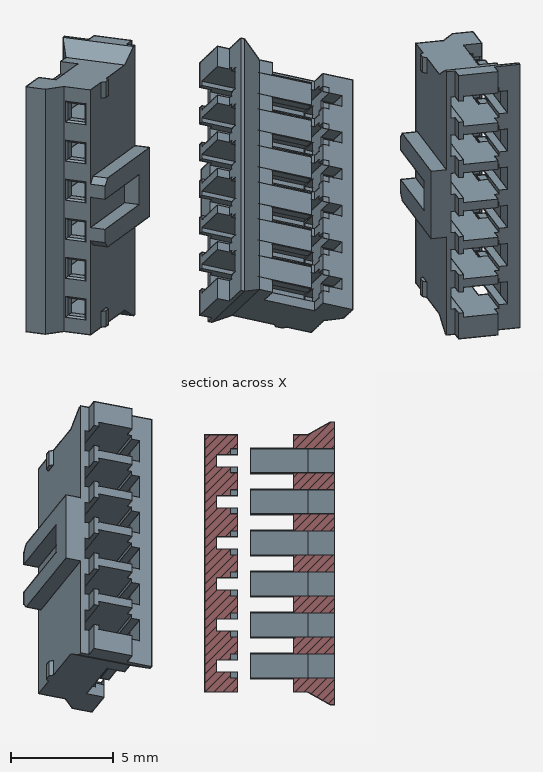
import cadquery as cq


CONTACTS = 6
PITCH = 2.0
cell_heights = [(i - (CONTACTS - 1) / 2) * PITCH for i in range(CONTACTS)]

HEIGHT = 13.8
FLARE = 0.62
BODY_RIGHT = 3.73
FLANGE_BACK = 6.35
FLANGE_RIM = 0.21
FLARE_START = 5.04
flare_end = FLANGE_BACK - FLANGE_RIM
body_left = FLARE
body_height = HEIGHT - 2 * FLARE

LIP_WIDTH = 1.04
LIP_STEP = 0.76
LIP_CHAMFER = 0.66

POST_LEFT = 1.28
POST_WIDTH = 2.0
DEPTH = 7.0

OVERALL_WIDTH = 4.5
RIB_PAIR_HEIGHT = 3.53
RIB_GAP = 1.55
RIB_CHAMFER = 0.32

BUMP_HEIGHT = 0.18
BUMP_START = 2.07
BUMP_END = 2.77
BUMP_LENGTH = 0.81

WINDOW_START = 1.61
WINDOW_END = 4.33
WINDOW_DEPTH = 0.92
window_floor = body_left + WINDOW_DEPTH
ARM_START = 2.24
ARM_THICKNESS = 0.44
ARM_HEIGHT = 1.27

CAVITY_START = 1.27
ARM_SKIN = 0.01
ARM_CHANNEL_HEIGHT = 1.16
WIDE_HEIGHT = 1.56
WIDE_RIGHT = 3.04
NARROW_HEIGHT = 1.1
arm_inside = body_left + ARM_THICKNESS

HOLE_X = 2.94
HOLE_SIZE = 0.88
HOLE_CHAMFER = 0.1
narrow_right = HOLE_X + NARROW_HEIGHT / 2

NOTCH_START = 0.6
NOTCH_HEIGHT = 0.58

def box(x_range, y_range, height, z_middle=0.0):
    """Box spanning the X and Y ranges, centred on z_middle."""
    x0, x1 = x_range
    y0, y1 = y_range
    solid = cq.Workplane("XY").box(x1 - x0, y1 - y0, height, centered=(False, False, True))
    return solid.translate((x0, y0, z_middle))

def prism(points, height, z_middle=0.0):
    """Outline in XY, extruded along Z and centred on z_middle."""
    solid = cq.Workplane("XY").polyline(points).close().extrude(height / 2, both=True)
    return solid.translate((0, 0, z_middle))

def make_flange():
    """Flange that flares outwards on three sides and is flush on the right."""
    left_profile = [
        (body_left, FLARE_START),
        (0, flare_end),
        (0, FLANGE_BACK),
        (BODY_RIGHT, FLANGE_BACK),
        (BODY_RIGHT, FLARE_START),
    ]
    half_body = body_height / 2
    half_height = HEIGHT / 2
    end_profile = [
        (FLARE_START, -half_body),
        (flare_end, -half_height),
        (FLANGE_BACK, -half_height),
        (FLANGE_BACK, half_height),
        (flare_end, half_height),
        (FLARE_START, half_body),
    ]
    end_prism = cq.Workplane("YZ").polyline(end_profile).close().extrude(BODY_RIGHT)
    return prism(left_profile, HEIGHT).intersect(end_prism)

def make_body():
    """Main block with the stepped lip at its front."""
    outline = [
        (body_left, 0),
        (body_left + LIP_WIDTH, 0),
        (body_left + LIP_WIDTH + LIP_CHAMFER, LIP_STEP),
        (BODY_RIGHT, LIP_STEP),
        (BODY_RIGHT, FLANGE_BACK),
        (body_left, FLANGE_BACK),
    ]
    return prism(outline, body_height)

def make_posts():
    """Rear block, later divided into posts by the cavities."""
    return box((POST_LEFT, POST_LEFT + POST_WIDTH), (flare_end, DEPTH), HEIGHT)

def make_ribs():
    """Pair of side ribs with chamfered front corners, bridged at the rear."""
    ribs = box((BODY_RIGHT, OVERALL_WIDTH), (LIP_STEP, FLANGE_BACK), RIB_PAIR_HEIGHT)
    ribs = ribs.edges("|X and <Y").chamfer(RIB_CHAMFER)
    return ribs.cut(box((BODY_RIGHT, OVERALL_WIDTH), (LIP_STEP, FLARE_START), RIB_GAP))

def make_bump(z_middle):
    outline = [
        (BODY_RIGHT, BUMP_START),
        (BODY_RIGHT + BUMP_HEIGHT, BUMP_START + BUMP_HEIGHT),
        (BODY_RIGHT + BUMP_HEIGHT, BUMP_END - BUMP_HEIGHT),
        (BODY_RIGHT, BUMP_END),
    ]
    return prism(outline, BUMP_LENGTH, z_middle)

def make_window():
    """Opening along the left side that leaves the locking arms standing."""
    window = box((body_left, window_floor), (WINDOW_START, WINDOW_END), body_height)
    for z in cell_heights:
        window = window.cut(box((body_left, arm_inside), (ARM_START, WINDOW_END), ARM_HEIGHT, z))
    return window

def make_cavity(z):
    """Contact cavity, its front hole and its release notch."""
    length = (CAVITY_START, DEPTH)
    cavity = box((body_left + ARM_SKIN, arm_inside), length, ARM_CHANNEL_HEIGHT, z)
    cavity = cavity.union(box((arm_inside, WIDE_RIGHT), length, WIDE_HEIGHT, z))
    cavity = cavity.union(box((WIDE_RIGHT, narrow_right), length, NARROW_HEIGHT, z))

    hole_left = HOLE_X - HOLE_SIZE / 2
    hole_right = HOLE_X + HOLE_SIZE / 2
    cavity = cavity.union(box((hole_left, hole_right), (LIP_STEP, CAVITY_START), HOLE_SIZE, z))
    mouth_size = HOLE_SIZE + 2 * HOLE_CHAMFER
    mouth = (
        cq.Workplane("XZ", origin=(HOLE_X, LIP_STEP, z))
        .rect(mouth_size, mouth_size)
        .workplane(offset=-HOLE_CHAMFER)
        .rect(HOLE_SIZE, HOLE_SIZE)
        .loft()
    )
    notch = box((body_left, window_floor), (NOTCH_START, WINDOW_START), NOTCH_HEIGHT, z)
    return cavity.union(mouth).union(notch)

housing = make_flange().union(make_body()).union(make_posts()).union(make_ribs())

bump_offset = (body_height - BUMP_LENGTH) / 2
for side in (-1, 1):
    housing = housing.union(make_bump(side * bump_offset))

housing = housing.cut(make_window())
for cell_height in cell_heights:
    housing = housing.cut(make_cavity(cell_height))

result = housing